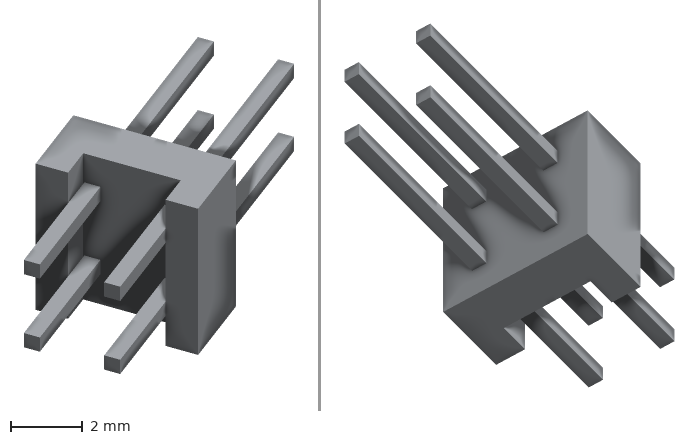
import cadquery as cq

body_width = 5.0
body_depth = 2.5
body_height = 5.08
wall = 1.0
channel_depth = 1.0
channel_width = body_width - 2 * wall

pin_size = 0.5
pin_length = 11.5
pin_front_length = 3.0
left_pin_gap = 0.03
pin_pitch_z = 2.54
upper_pin_margin = 1.0

body_front = -body_depth / 2
pin_front = body_front - pin_front_length
right_pin_x = (channel_width - pin_size) / 2
left_pin_x = left_pin_gap - right_pin_x
upper_pin_z = body_height / 2 - upper_pin_margin - pin_size / 2


def make_housing():
    block = cq.Workplane("XY").box(body_width, body_depth, body_height)
    channel = (
        cq.Workplane("XY")
        .box(channel_width, channel_depth, body_height)
        .translate((0, body_front + channel_depth / 2, 0))
    )
    return block.cut(channel)


def make_pin(x, z):
    return (
        cq.Workplane("XY")
        .box(pin_size, pin_length, pin_size)
        .translate((x, pin_front + pin_length / 2, z))
    )


result = make_housing()
for pin_x in (left_pin_x, right_pin_x):
    for pin_z in (upper_pin_z, upper_pin_z - pin_pitch_z):
        result = result.union(make_pin(pin_x, pin_z))